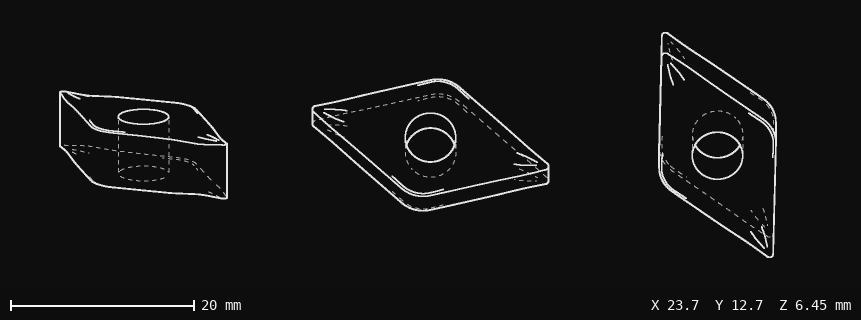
import cadquery as cq
import math

inscribed_diameter = 12.7
corner_angle = 55.0
thickness = 6.45
nose_radius = 0.4
blunt_radius = 3.5
hole_diameter = 5.5

rim_drop = 0.13
rim_width = 0.28
nose_drop = 0.16
plateau_border = [(0.9, 0.66), (2.4, 1.03), (3.6, 1.41), (4.8, 1.1), (6.8, 0.68), (9.0, 0.48)]
cutting_edge_dip = [(1.0, 0.25), (2.8, 0.35), (4.8, 0.21), (7.0, rim_drop)]
plateau_tip_offset = 0.82

inscribed_radius = inscribed_diameter / 2
plateau_height = thickness / 2
half_angle = math.radians(corner_angle / 2)
acute_tangent = inscribed_radius / math.tan(half_angle)
obtuse_tangent = inscribed_radius * math.tan(half_angle)
flank_length = (
    acute_tangent + obtuse_tangent - nose_radius / math.tan(half_angle) - blunt_radius * math.tan(half_angle)
)
nose_center_distance = (inscribed_radius - nose_radius) / math.sin(half_angle)
blunt_center_distance = (inscribed_radius - blunt_radius) / math.cos(half_angle)


def bisector_point(along, across, height):
    """Point measured along the long diagonal and across it."""
    x = along * math.cos(half_angle) - across * math.sin(half_angle)
    y = along * math.sin(half_angle) + across * math.cos(half_angle)
    return cq.Vector(x, y, height)


def flank_point(side, along, inset, height):
    """Point measured along a flank of the -X nose and inward from it; side is -1 (lower) or 1 (upper)."""
    reach = nose_radius - inset
    diagonal = along * math.cos(half_angle) - reach * math.sin(half_angle)
    lateral = along * math.sin(half_angle) + reach * math.cos(half_angle)
    return bisector_point(diagonal - nose_center_distance, side * lateral, height)


def flank_curve(side, points):
    """Smooth curve along a flank that meets the blunt corner parallel to the flank."""
    direction = flank_point(side, 1, 0, 0) - flank_point(side, 0, 0, 0)
    chord = points[1] - points[0]
    return cq.Edge.makeSpline(points, tangents=[chord.normalized(), direction])


def plateau_edge(side):
    stations = plateau_border + [(flank_length, rim_width)]
    points = [flank_point(side, along, inset, plateau_height) for along, inset in stations]
    return flank_curve(side, points)


def cutting_edge(side):
    stations = [(0, nose_drop)] + cutting_edge_dip + [(flank_length, rim_drop)]
    points = [flank_point(side, along, 0, plateau_height - drop) for along, drop in stations]
    return flank_curve(side, points)


def nose_arc(height):
    apex = bisector_point(-nose_center_distance - nose_radius, 0, height)
    return cq.Edge.makeThreePointArc(flank_point(1, 0, 0, height), apex, flank_point(-1, 0, 0, height))


def plateau_tip_arc():
    """Small arc that joins the two borders of the plateau behind the nose."""
    along, inset = plateau_border[0]
    apex = bisector_point(plateau_tip_offset - nose_center_distance, 0, plateau_height)
    ends = [flank_point(side, along, inset, plateau_height) for side in (1, -1)]
    return cq.Edge.makeThreePointArc(ends[0], apex, ends[1])


def blunt_arc(inset, height):
    """Arc of the blunt corner at -Y, from the lower flank to the flank that runs on to the +X nose."""
    start = flank_point(-1, flank_length, inset, height)
    apex = bisector_point(0, -blunt_center_distance - blunt_radius + inset, height)
    far_end = flank_point(1, flank_length, inset, height)
    end = cq.Vector(-far_end.x, -far_end.y, height)
    return cq.Edge.makeThreePointArc(start, apex, end)


def half_turn(shape):
    return shape.rotate(cq.Vector(0, 0, 0), cq.Vector(0, 0, 1), 180)


def insert_body():
    """Insert without its hole, closed from its plateaus, rims and side walls."""
    plateau = [plateau_edge(-1), plateau_edge(1), plateau_tip_arc(), blunt_arc(rim_width, plateau_height)]
    cutting = [
        cutting_edge(-1),
        cutting_edge(1),
        nose_arc(plateau_height - nose_drop),
        blunt_arc(0, plateau_height - rim_drop),
    ]

    plateau_outline = cq.Wire.combine(plateau + [half_turn(edge) for edge in plateau])[0]
    plateau_face = cq.Face.makeFromWires(plateau_outline)
    faces = [plateau_face, plateau_face.mirror("XY")]
    for inner, edge in zip(plateau, cutting):
        rim = cq.Face.makeRuledSurface(inner, edge)
        wall = cq.Face.makeRuledSurface(edge, edge.mirror("XY"))
        for face in (rim, rim.mirror("XY"), wall):
            faces += [face, half_turn(face)]
    return cq.Workplane(obj=cq.Solid.makeSolid(cq.Shell.makeShell(faces)))


hole = cq.Workplane().circle(hole_diameter / 2).extrude(plateau_height, both=True)
result = insert_body().cut(hole).solids()